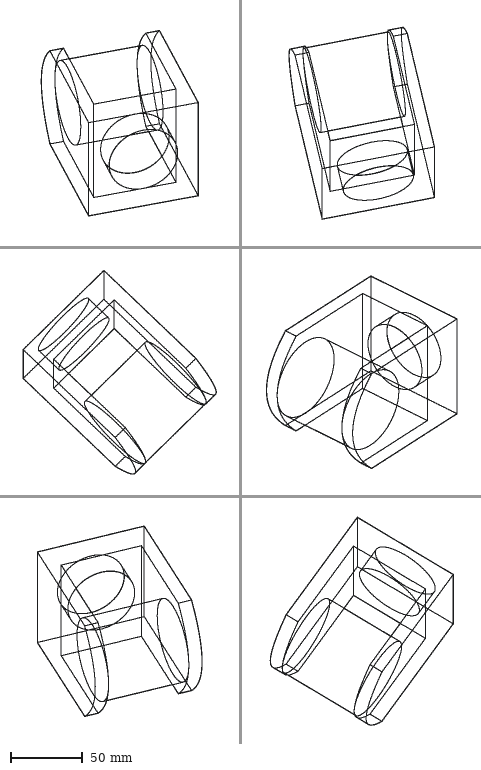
import cadquery as cq

length = 110.0
width = 80.0
height = 80.0

cheek_thickness = 10.0
back_wall = 20.0
nose_depth = 20.0

roller_diameter = 60.0

bore_diameter = 50.0

gap_width = width - 2 * cheek_thickness
gap_end = length - back_wall
roller_radius = roller_diameter / 2
half_height = height / 2


def make_body():
    """Block with a curved nose, running from the nose tip at X = 0 to the flat back."""
    nose_top = (nose_depth, half_height)
    nose_tip = (0, 0)
    nose_bottom = (nose_depth, -half_height)
    profile = (
        cq.Workplane("XZ")
        .moveTo(*nose_bottom)
        .lineTo(length, -half_height)
        .lineTo(length, half_height)
        .lineTo(*nose_top)
        .spline([nose_tip, nose_bottom], includeCurrent=True)
        .close()
    )
    return profile.extrude(width / 2, both=True)


def make_gap():
    """Open slot between the cheeks, through the full height."""
    return cq.Workplane("XY").box(
        gap_end, gap_width, height, centered=(False, True, True)
    )


def make_roller():
    """Solid cylinder spanning the gap from cheek to cheek."""
    return (
        cq.Workplane("XZ")
        .center(roller_radius, 0)
        .circle(roller_radius)
        .extrude(gap_width / 2, both=True)
    )


def make_bore():
    """Round hole along X through the back wall."""
    return (
        cq.Workplane("YZ", origin=(gap_end, 0, 0))
        .circle(bore_diameter / 2)
        .extrude(back_wall)
    )


result = make_body().cut(make_gap()).cut(make_bore()).union(make_roller())